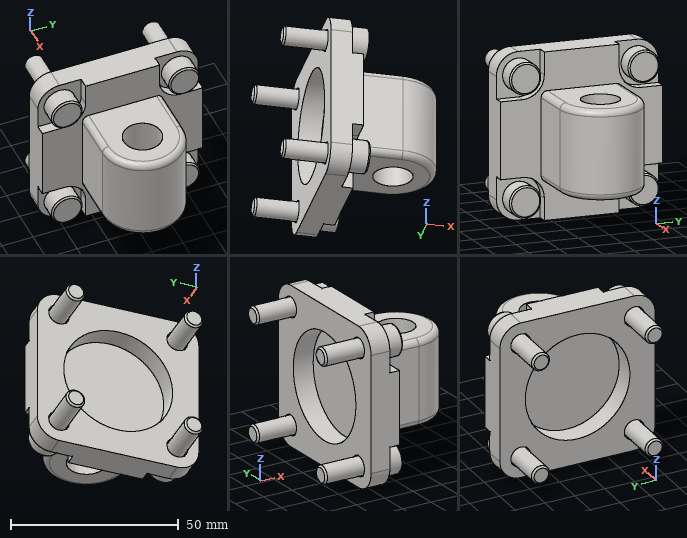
import cadquery as cq

plate_side = 52.0
plate_thickness = 10.0
corner_radius = 7.0

seat_floor_x = 6.6
seat_radius = 7.0

recess_diameter = 35.0
recess_depth = 7.0

screw_offset = plate_side / 2 - corner_radius
screw_diameter = 6.0
screw_length = 20.0
screw_hole_diameter = 6.6
head_diameter = 10.0
head_height = 6.0
screw_tip_chamfer = 0.6
head_chamfer = 0.5
underhead_fillet = 0.2

lug_width = 26.0
lug_height = 28.0
lug_edge_fillet = 2.0
lug_hole_x = 25.0
lug_hole_diameter = 12.0

corner_signs = [(y_sign, z_sign) for y_sign in (-1, 1) for z_sign in (-1, 1)]


def make_plate():
    blank = cq.Workplane("YZ").rect(plate_side, plate_side).extrude(plate_thickness)
    plate = blank.edges("|X").fillet(corner_radius)
    recess = cq.Workplane("YZ").circle(recess_diameter / 2).extrude(recess_depth)
    return plate.cut(recess)


def make_corner_seat(y_sign, z_sign):
    """Open corner pocket whose inner corner is an arc around the screw axis."""
    inner_edge = screw_offset - seat_radius
    seat_side = plate_side / 2 - inner_edge
    seat_center = inner_edge + seat_side / 2
    pocket = (
        cq.Workplane("YZ", origin=(seat_floor_x, 0, 0))
        .center(y_sign * seat_center, z_sign * seat_center)
        .rect(seat_side, seat_side)
        .extrude(plate_thickness - seat_floor_x)
    )
    inner_y = "<Y" if y_sign > 0 else ">Y"
    inner_z = "<Z" if z_sign > 0 else ">Z"
    return pocket.edges("|X").edges(inner_y).edges(inner_z).fillet(seat_radius)


def make_screw_hole(y_sign, z_sign):
    return (
        cq.Workplane("YZ")
        .center(y_sign * screw_offset, z_sign * screw_offset)
        .circle(screw_hole_diameter / 2)
        .extrude(seat_floor_x)
    )


def make_screw(y_sign, z_sign):
    """Cap screw seated on the seat floor, with a fillet where its shank meets the head."""
    seat_plane = cq.Workplane("YZ", origin=(seat_floor_x, y_sign * screw_offset, z_sign * screw_offset))
    head = seat_plane.circle(head_diameter / 2).extrude(head_height)
    head = head.faces(">X").chamfer(head_chamfer)
    shank = seat_plane.circle(screw_diameter / 2).extrude(-screw_length)
    shank = shank.faces("<X").chamfer(screw_tip_chamfer)
    screw = head.union(shank)
    shank_root = cq.selectors.RadiusNthSelector(0)
    head_underside = screw.faces("|X").faces(">X[-2]")
    return head_underside.edges(shank_root).fillet(underhead_fillet)


def make_lug():
    straight_length = lug_hole_x - plate_thickness
    half_width = lug_width / 2
    lug = (
        cq.Workplane("XY", origin=(plate_thickness, 0, -lug_height / 2))
        .moveTo(0, -half_width)
        .lineTo(straight_length, -half_width)
        .threePointArc((straight_length + half_width, 0), (straight_length, half_width))
        .lineTo(0, half_width)
        .close()
        .extrude(lug_height)
    )
    rim_edges = lug.faces("<Z or >Z").edges("not(<X)")
    lug = rim_edges.fillet(lug_edge_fillet)
    hole = (
        cq.Workplane("XY", origin=(lug_hole_x, 0, -lug_height / 2))
        .circle(lug_hole_diameter / 2)
        .extrude(lug_height)
    )
    return lug.cut(hole)


result = make_plate().union(make_lug())
for signs in corner_signs:
    result = result.cut(make_corner_seat(*signs))
    result = result.cut(make_screw_hole(*signs))
    result = result.union(make_screw(*signs))